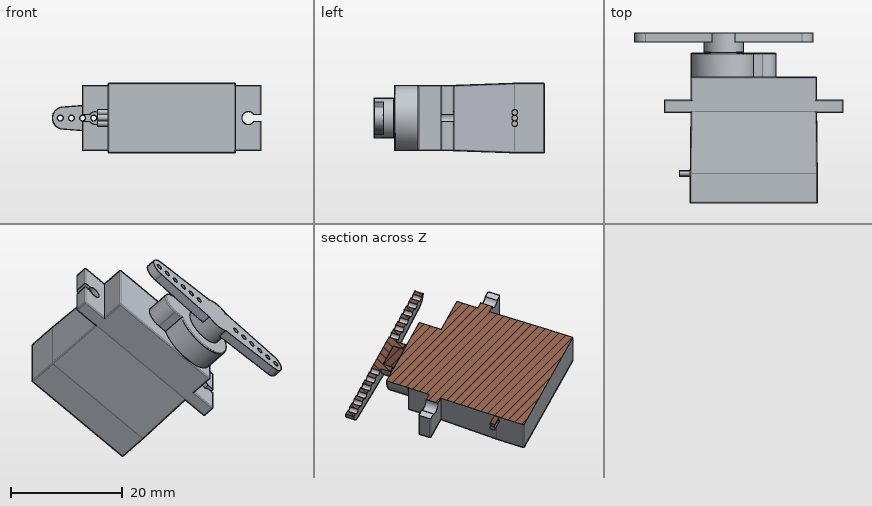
import cadquery as cq
import math

EDGE_RADIUS = 0.2

BASE_END_Y = 5.3
TAB_FRONT_Y = 16.2
TAB_THICKNESS = 2.32
TAB_BACK_Y = TAB_FRONT_Y + TAB_THICKNESS
TAPER_END_Y = TAB_FRONT_Y + EDGE_RADIUS
CASE_BACK_Y = 22.6
GEARBOX_BACK_Y = 26.85

CASE_CENTER_X = 5.4
BASE_SIZE = (22.78, 12.5)
UPPER_SIZE = (22.5, 11.7)
TAB_SPAN = 32.0

SCREW_SPACING = 27.45
SCREW_HOLE_DIAMETER = 2.3
SLOT_WIDTH = 1.2

GEARBOX_DIAMETER = UPPER_SIZE[1]
SMALL_BOSS_DIAMETER = 4.85
SMALL_BOSS_X = 6.95

HORN_CLEARANCE = 0.15
HORN_FRONT_Y = GEARBOX_BACK_Y + HORN_CLEARANCE
HORN_BACK_Y = 30.48
HUB_DIAMETER = 7.15
ARM_THICKNESS = 1.65
ARM_FRONT_Y = HORN_BACK_Y - ARM_THICKNESS
ARM_REACH = 16.0
ARM_TIP_RADIUS = 2.0
ARM_ROOT_X = 2.05
ARM_HOLE_DIAMETER = 1.0
ARM_HOLE_COUNT = 6
ARM_HOLE_PITCH = 2.0
OUTER_ARM_HOLE_X = 14.6

SHAFT_DIAMETER = 4.6

WIRE_DIAMETER = 1.0
WIRE_LENGTH = 1.95
WIRE_COUNT = 3


def y_cylinder(diameter, y_start, y_end, x=0.0):
    """Cylinder along Y, centred on Z = 0."""
    profile = cq.Workplane("XZ", origin=(x, y_start, 0)).circle(diameter / 2)
    return profile.extrude(y_start - y_end)


def y_block(size_x, size_z, y_start, y_end, center_x):
    """Block along Y, centred on Z = 0."""
    profile = cq.Workplane("XZ", origin=(center_x, y_start, 0)).rect(size_x, size_z)
    return profile.extrude(y_start - y_end)


def make_lower_case():
    """Straight base and taper, rounded along their length and round the closed end."""
    base = y_block(*BASE_SIZE, 0, BASE_END_Y, CASE_CENTER_X)
    taper = (
        cq.Workplane("XZ", origin=(CASE_CENTER_X, BASE_END_Y, 0))
        .rect(*BASE_SIZE)
        .workplane(offset=BASE_END_Y - TAPER_END_Y)
        .rect(*UPPER_SIZE)
        .loft(ruled=True)
    )
    return base.union(taper).edges("(not #Y) or <Y").fillet(EDGE_RADIUS)


def make_upper_case():
    """Upper case with both tabs, rounded everywhere but in the inside corners behind the tabs."""
    upper = y_block(*UPPER_SIZE, TAB_FRONT_Y, CASE_BACK_Y, CASE_CENTER_X)
    tabs = y_block(TAB_SPAN, UPPER_SIZE[1], TAB_FRONT_Y, TAB_BACK_Y, CASE_CENTER_X)
    margin = 0.37
    reach_x = UPPER_SIZE[0] / 2 + margin
    inside_corners = cq.selectors.BoxSelector(
        (CASE_CENTER_X - reach_x, TAB_BACK_Y - margin, -margin),
        (CASE_CENTER_X + reach_x, TAB_BACK_Y + margin, margin),
    )
    outer_edges = cq.selectors.InverseSelector(inside_corners)
    return upper.union(tabs).edges(outer_edges).fillet(EDGE_RADIUS)


def make_gearbox():
    """Two bosses joined by a flat-sided bridge, with a rounded back rim."""
    span = (CASE_BACK_Y, GEARBOX_BACK_Y)
    large_boss = y_cylinder(GEARBOX_DIAMETER, *span)
    small_boss = y_cylinder(SMALL_BOSS_DIAMETER, *span, SMALL_BOSS_X)
    bridge = y_block(SMALL_BOSS_X, SMALL_BOSS_DIAMETER, *span, SMALL_BOSS_X / 2)
    return large_boss.union(bridge).union(small_boss).faces(">Y").edges().fillet(EDGE_RADIUS)


def make_screw_slot(side):
    """Screw hole and the slot that opens it to the tab end; side is -1 or 1."""
    screw_x = CASE_CENTER_X + side * SCREW_SPACING / 2
    end_x = CASE_CENTER_X + side * TAB_SPAN / 2
    hole = y_cylinder(SCREW_HOLE_DIAMETER, TAB_FRONT_Y, TAB_BACK_Y, screw_x)
    slot_center_x = (screw_x + end_x) / 2
    slot = y_block(abs(end_x - screw_x), SLOT_WIDTH, TAB_FRONT_Y, TAB_BACK_Y, slot_center_x)
    return hole.union(slot)


def make_case():
    case = make_upper_case().union(make_lower_case()).union(make_gearbox())
    for side in (-1, 1):
        case = case.cut(make_screw_slot(side))
    return case


def make_arm(side):
    """Horn arm narrowing to a round tip; side is -1 or 1."""
    root_z = math.sqrt((HUB_DIAMETER / 2) ** 2 - ARM_ROOT_X**2)
    tip_center_x = ARM_REACH - ARM_TIP_RADIUS
    return (
        cq.Workplane("XZ", origin=(0, ARM_FRONT_Y, 0))
        .moveTo(side * ARM_ROOT_X, -root_z)
        .lineTo(side * tip_center_x, -ARM_TIP_RADIUS)
        .threePointArc((side * ARM_REACH, 0), (side * tip_center_x, ARM_TIP_RADIUS))
        .lineTo(side * ARM_ROOT_X, root_z)
        .close()
        .extrude(-ARM_THICKNESS)
    )


def make_horn():
    """Hub and arms, less the row of holes in each arm and the shaft socket."""
    horn = y_cylinder(HUB_DIAMETER, HORN_FRONT_Y, HORN_BACK_Y)
    for side in (-1, 1):
        horn = horn.union(make_arm(side))
        for i in range(ARM_HOLE_COUNT):
            hole_x = side * (OUTER_ARM_HOLE_X - i * ARM_HOLE_PITCH)
            horn = horn.cut(y_cylinder(ARM_HOLE_DIAMETER, ARM_FRONT_Y, HORN_BACK_Y, hole_x))
    return horn.cut(y_cylinder(SHAFT_DIAMETER, HORN_FRONT_Y, ARM_FRONT_Y))


def make_shaft():
    return y_cylinder(SHAFT_DIAMETER, GEARBOX_BACK_Y, ARM_FRONT_Y)


def make_wire(z):
    base_face_x = CASE_CENTER_X - BASE_SIZE[0] / 2
    profile = cq.Workplane("YZ", origin=(base_face_x, BASE_END_Y, z)).circle(WIRE_DIAMETER / 2)
    return profile.extrude(-WIRE_LENGTH)


case = make_case()
horn = make_horn()
shaft = make_shaft()

wires = []
for i in range(WIRE_COUNT):
    wire_z = (i - (WIRE_COUNT - 1) / 2) * WIRE_DIAMETER
    wires.append(make_wire(wire_z).val())

result = cq.Compound.makeCompound([case.val(), horn.val(), shaft.val(), *wires])